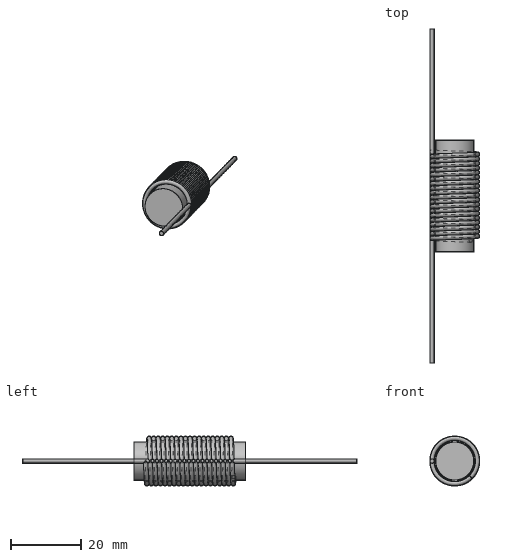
import cadquery as cq

LEAD_LENGTH = 95.25
COIL_OUTER_DIAMETER = 14.2

WIRE_RADIUS = 0.64
TURN_GAP = 0.02
SECTION_COUNT = 5
SECTION_TURNS = 3.875

LEAD_INSET = 0.02

CORE_DIAMETER = 11.0
CORE_LENGTH = 31.8

WIRE_DIAMETER = 2 * WIRE_RADIUS
PITCH = WIRE_DIAMETER + TURN_GAP
COIL_RADIUS = COIL_OUTER_DIAMETER / 2 - WIRE_RADIUS
SECTION_LENGTH = PITCH * SECTION_TURNS
SECTION_ANGLE = 360.0 * SECTION_TURNS
WINDING_LENGTH = SECTION_COUNT * SECTION_LENGTH
START_ANGLE = 180.0 - SECTION_COUNT * SECTION_ANGLE


def cylinder_along_y(diameter, length, x):
    """Cylinder along Y, centred on the XZ plane, with its axis at the given x."""
    return cq.Workplane("XZ").center(x, 0).circle(diameter / 2).extrude(length / 2, both=True)


def make_winding_section(index):
    """One section of round wire on a right-handed helix about the Y axis, counted from the -Y end."""
    path = cq.Workplane(cq.Wire.makeHelix(PITCH, SECTION_LENGTH, COIL_RADIUS))
    section = cq.Workplane("XZ").center(COIL_RADIUS, 0).circle(WIRE_RADIUS).sweep(path, isFrenet=True)
    return (
        section.translate((0, 0, index * SECTION_LENGTH - WINDING_LENGTH / 2))
        .rotate((0, 0, 0), (0, 0, 1), START_ANGLE + index * SECTION_ANGLE)
        .rotate((0, 0, 0), (1, 0, 0), -90)
    )


def make_coil():
    """Winding joined to the straight lead wire that runs through its turns on the -X side."""
    wire = cylinder_along_y(WIRE_DIAMETER, LEAD_LENGTH, LEAD_INSET - COIL_RADIUS)
    for index in range(SECTION_COUNT):
        wire = wire.union(make_winding_section(index), clean=False)
    return wire


def make_core():
    """Plain rod inside the winding, with a small gap all round."""
    return cylinder_along_y(CORE_DIAMETER, CORE_LENGTH, 0)


coil = make_coil()
core = make_core()
result = cq.Compound.makeCompound([coil.solids().val(), core.val()])